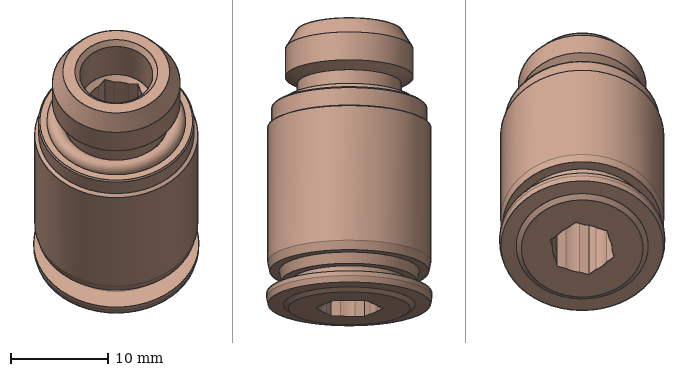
import cadquery as cq
import math

height = 29.5

flange_radius = 17.0 / 2
flange_top = 1.62
flange_taper_top = 1.12
flange_taper_bottom = 0.47
flange_taper_radius = 8.35
boss_radius = 6.78
boss_bottom_radius = 6.25
boss_top = 0.38

sleeve_radius = 12.0 / 2
sleeve_fillet = 0.4
skirt_bottom = 2.85
skirt_bottom_radius = 6.95
skirt_top_radius = 7.23

body_radius = 16.8 / 2
body_bottom = 3.98
body_bottom_radius = 8.17
body_taper_top = 4.93
body_top = 19.3
collar_bottom = 19.47
collar_radius = 16.0 / 2
collar_top = 21.48
collar_chamfer = 0.15

neck_radius = 10.7 / 2
ring_outer_radius = 7.15
ring_top = 22.25
head_radius = 13.15 / 2
head_top_radius = 5.5
head_taper_bottom = 27.67
head_bottom = 24.7
neck_top = 23.98

socket_radius = 7.5 / 2
socket_chamfer = 0.5
socket_floor = 24.45
floor_half_angle = math.radians(60)
drill_radius = 3.07
hex_across_flats = 5.95


def revolve_profile(profile):
    """Turn a closed profile of (radius, Z) around the Z axis."""
    return profile.close().revolve(360, (0, 0, 0), (0, 1, 0))


def make_flange_and_sleeve():
    """Flange with a tapered rim, filleted into the sleeve above it."""
    fillet_offset = sleeve_fillet * (1 - math.sqrt(0.5))
    profile = (
        cq.Workplane("XZ")
        .moveTo(0, 0)
        .lineTo(boss_bottom_radius, 0)
        .lineTo(boss_radius, boss_top)
        .lineTo(flange_taper_radius, flange_taper_bottom)
        .lineTo(flange_radius, flange_taper_top)
        .lineTo(flange_radius, flange_top)
        .lineTo(sleeve_radius + sleeve_fillet, flange_top)
        .threePointArc(
            (sleeve_radius + fillet_offset, flange_top + fillet_offset),
            (sleeve_radius, flange_top + sleeve_fillet),
        )
        .lineTo(sleeve_radius, body_bottom)
        .lineTo(0, body_bottom)
    )
    return revolve_profile(profile)


def make_body():
    """Skirt, cylindrical body and collar, up to the seal ring seat."""
    profile = (
        cq.Workplane("XZ")
        .moveTo(0, skirt_bottom)
        .lineTo(skirt_bottom_radius, skirt_bottom)
        .lineTo(skirt_top_radius, body_bottom)
        .lineTo(body_bottom_radius, body_bottom)
        .lineTo(body_radius, body_taper_top)
        .lineTo(body_radius, body_top)
        .lineTo(collar_radius, collar_bottom)
        .lineTo(collar_radius, collar_top - collar_chamfer)
        .lineTo(collar_radius - collar_chamfer, collar_top)
        .lineTo(0, collar_top)
    )
    return revolve_profile(profile)


def make_head():
    """Neck and the plug head with its tapered lead-in."""
    profile = (
        cq.Workplane("XZ")
        .moveTo(0, collar_top)
        .lineTo(neck_radius, collar_top)
        .lineTo(neck_radius, neck_top)
        .lineTo(head_radius, head_bottom)
        .lineTo(head_radius, head_taper_bottom)
        .lineTo(head_top_radius, height)
        .lineTo(0, height)
    )
    return revolve_profile(profile)


def make_seal_ring():
    """Round seal ring around the neck, half sunk into the collar."""
    tube_radius = (ring_outer_radius - neck_radius) / 2
    profile = (
        cq.Workplane("XZ")
        .center(neck_radius + tube_radius, ring_top - tube_radius)
        .circle(tube_radius)
    )
    return profile.revolve(360, (-neck_radius - tube_radius, 0, 0), (-neck_radius - tube_radius, 1, 0))


def make_socket():
    """Chamfered socket tool ending in a cone, like a drill tip."""
    tip = socket_floor - socket_radius / math.tan(floor_half_angle)
    profile = (
        cq.Workplane("XZ")
        .moveTo(0, tip)
        .lineTo(socket_radius, socket_floor)
        .lineTo(socket_radius, height - socket_chamfer)
        .lineTo(socket_radius + socket_chamfer, height)
        .lineTo(0, height)
    )
    return revolve_profile(profile)


def make_hex_passage():
    """Through hexagon with corners on Y, relieved by a drilled hole."""
    corner_diameter = hex_across_flats / math.cos(math.radians(30))
    hexagon = (
        cq.Workplane("XY")
        .transformed(rotate=(0, 0, 90))
        .polygon(6, corner_diameter)
        .extrude(height)
    )
    drill = cq.Workplane("XY").circle(drill_radius).extrude(height)
    return hexagon.union(drill)


result = (
    make_flange_and_sleeve()
    .union(make_body())
    .union(make_head())
    .union(make_seal_ring())
    .cut(make_socket())
    .cut(make_hex_passage())
)